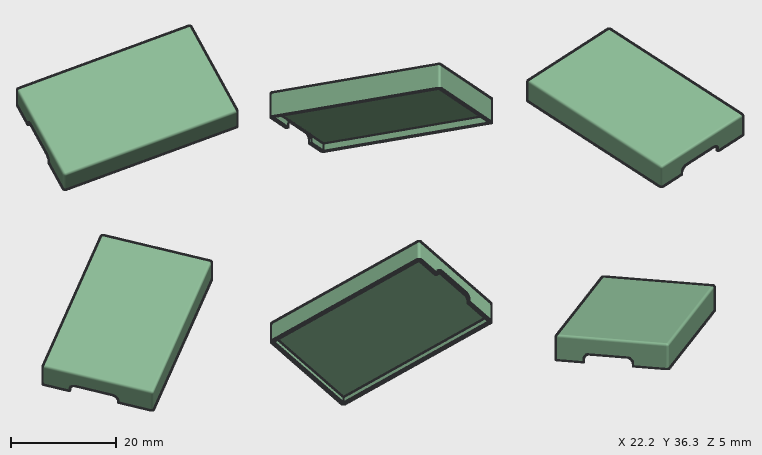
import cadquery as cq

width = 22.2
length = 36.3
height = 5.0
edge_radius = 0.5

wall = 0.5
recess_depth = 1.5

notch_left = -5.55
notch_right = 4.1
notch_height = 1.7
notch_radius = 1.2


def make_body():
    """Block with rounded vertical and top edges, standing on Z = 0."""
    block = cq.Workplane("XY").box(width, length, height, centered=(True, True, False))
    return block.edges("|Z or >Z").fillet(edge_radius)


def make_recess():
    """Rectangular pocket leaving a thin wall all round."""
    return cq.Workplane("XY").box(
        width - 2 * wall, length - 2 * wall, recess_depth, centered=(True, True, False)
    )


def make_notch():
    """Cutter as deep as the front wall, with rounded upper corners."""
    notch_width = notch_right - notch_left
    cutter = cq.Workplane("XY").box(notch_width, wall, notch_height, centered=False)
    cutter = cutter.edges("|Y and >Z").fillet(notch_radius)
    return cutter.translate((notch_left, -length / 2, 0))


result = make_body().cut(make_recess()).cut(make_notch())